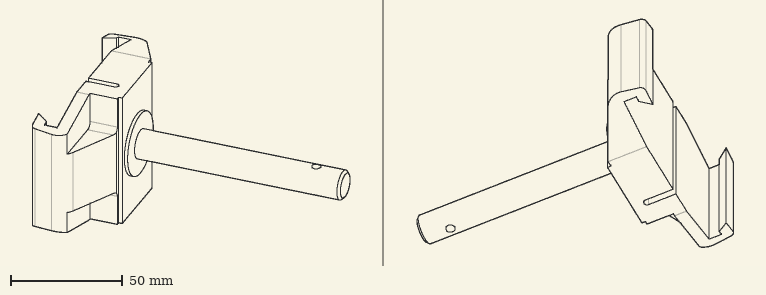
import cadquery as cq
import math

total_length = 134.0
height = 65.0
half_width = 48.2

seat_x = 11.5
back_x = 30.8
back_half_width = 20.4
crest_radius = 8.2
crest_x = 12.0
crest_y = half_width - crest_radius
end_half_height = 24.9

lip_x = 5.4
lip_y = 41.1
lip_inner_y = 43.4
tip_y = 37.4
nose_y = 46.5
nose_radius = 2.5

slot_y = -8.0
slot_width = 3.0
slot_end_x = 26.8

web_back_x = 17.5
wall_y = -19.2
rib_half_height = 15.1
rib_fillet = 2.8

plate_back_x = 32.5
plate_half_width = 17.5
collar_back_x = 34.2
collar_radius = 15.1
rod_radius = 7.0
rod_chamfer = 1.2
pin_hole_x = 119.9
pin_hole_diameter = 4.2


def block(x0, x1, y0, y1, z0, z1):
    """Box between two opposite corners."""
    return cq.Workplane("XY").box(x1 - x0, y1 - y0, z1 - z0, centered=False).translate((x0, y0, z0))


def cylinder(x0, x1, radius):
    """Round bar along the X axis."""
    return cq.Workplane("YZ", origin=(x0, 0, 0)).circle(radius).extrude(x1 - x0)


def crest_tangent(x, y, side):
    """Point where a line from (x, y) touches the crest arc; side is +1 or -1."""
    dx = x - crest_x
    dy = y - crest_y
    angle = math.atan2(dy, dx) + side * math.acos(crest_radius / math.hypot(dx, dy))
    return (crest_x + crest_radius * math.cos(angle), crest_y + crest_radius * math.sin(angle))


def half_body():
    """The +Y half of the body, with its hooked jaw."""
    half = (
        cq.Workplane("XY", origin=(0, 0, -height / 2))
        .moveTo(seat_x, 0)
        .lineTo(seat_x, lip_inner_y)
        .lineTo(lip_x, lip_inner_y)
        .lineTo(lip_x, lip_y)
        .lineTo(0, tip_y)
        .lineTo(0, nose_y)
        .lineTo(*crest_tangent(0, nose_y, -1))
        .threePointArc((crest_x, half_width), crest_tangent(back_x, back_half_width, 1))
        .lineTo(back_x, back_half_width)
        .lineTo(back_x, 0)
        .close()
        .extrude(height)
    )
    nose_edge = cq.selectors.NearestToPointSelector((0, nose_y, 0))
    return half.edges("|Z").edges(nose_edge).fillet(nose_radius)


def tapered_envelope():
    """Octagonal outline in YZ that narrows the body towards both jaws."""
    quarter = [(half_width, end_half_height), (back_half_width, height / 2)]
    upper = quarter + [(-y, z) for y, z in reversed(quarter)]
    lower = [(-y, -z) for y, z in upper]
    return cq.Workplane("YZ").polyline(upper + lower).close().extrude(back_x)


def rib_pocket():
    """Space above the rib on the -Y arm, rounded where the rib meets the wall."""
    pocket = block(web_back_x, back_x, -half_width, wall_y, rib_half_height, height / 2)
    return pocket.edges("|X and >Y and <Z").fillet(rib_fillet)


def flexure_slot():
    """Round-ended slot from the seat face into the body, through the full height."""
    end_radius = slot_width / 2
    end_center_x = slot_end_x - end_radius
    return (
        cq.Workplane("XY", origin=(0, 0, -height / 2))
        .moveTo(seat_x, slot_y - end_radius)
        .lineTo(end_center_x, slot_y - end_radius)
        .threePointArc((slot_end_x, slot_y), (end_center_x, slot_y + end_radius))
        .lineTo(seat_x, slot_y + end_radius)
        .close()
        .extrude(height)
    )


half = half_body()
body = half.union(half.mirror("XZ")).intersect(tapered_envelope())
pocket = rib_pocket()
body = body.cut(pocket).cut(pocket.mirror("XY")).cut(flexure_slot())

plate = block(back_x, plate_back_x, -plate_half_width, plate_half_width, -height / 2, height / 2)
collar = cylinder(plate_back_x, collar_back_x, collar_radius)

rod = cylinder(collar_back_x, total_length, rod_radius).faces(">X").chamfer(rod_chamfer)
pin_hole = (
    cq.Workplane("XY", origin=(pin_hole_x, 0, -rod_radius))
    .circle(pin_hole_diameter / 2)
    .extrude(2 * rod_radius)
)
rod = rod.cut(pin_hole)

result = body.union(plate).union(collar).union(rod)